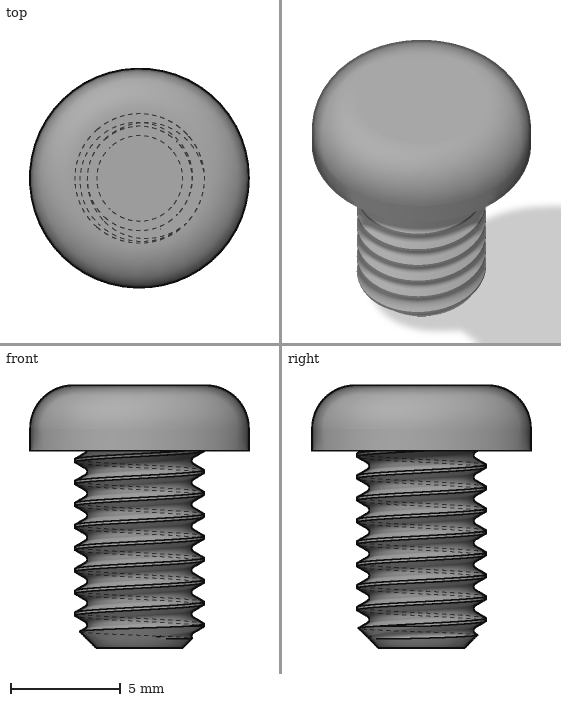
import cadquery as cq
import math

total_height = 12.0
head_radius = total_height / 2.4
head_height = total_height / 4
head_round = total_height / 6
shank_length = total_height - head_height

thread_radius = 2.95
pitch = total_height / 12
crest_width = 0.13
root_radius = 2.382
flank_half_angle = math.radians(30)
lowest_full_crest = 1.05
tip_radius = 1.95
tip_chamfer = thread_radius - tip_radius
seam_angle = 75
rod_overhang = 2.4
tool_overhang = 0.05


def make_head():
    disc = cq.Workplane("XY").workplane(offset=shank_length).circle(head_radius).extrude(head_height)
    return disc.faces(">Z").edges().fillet(head_round)


def make_shank_envelope():
    rod = cq.Workplane("XY").circle(thread_radius).extrude(shank_length)
    return rod.faces("<Z").edges().chamfer(tip_chamfer)


def make_thread_groove():
    """Right-handed V groove with a rounded root, starting below the tip and ending above the shank."""
    flank_slope = math.tan(flank_half_angle)
    mouth_half_width = (pitch - crest_width) / 2
    apex_radius = thread_radius - mouth_half_width / flank_slope
    root_round = (root_radius - apex_radius) / (1 / math.sin(flank_half_angle) - 1)
    tangent_rise = root_round * math.cos(flank_half_angle) / flank_slope
    tangent_radius = apex_radius + tangent_rise
    tangent_half_width = tangent_rise * flank_slope
    outer_radius = thread_radius + tool_overhang
    outer_half_width = mouth_half_width + tool_overhang * flank_slope

    start_height = lowest_full_crest - 1.5 * pitch
    helix_height = shank_length + pitch - start_height
    helix = cq.Wire.makeHelix(pitch, helix_height, thread_radius).translate(cq.Vector(0, 0, start_height))
    profile = (
        cq.Workplane("XZ")
        .moveTo(outer_radius, start_height - outer_half_width)
        .lineTo(tangent_radius, start_height - tangent_half_width)
        .threePointArc(
            (root_radius, start_height),
            (tangent_radius, start_height + tangent_half_width),
        )
        .lineTo(outer_radius, start_height + outer_half_width)
        .close()
    )
    return profile.sweep(cq.Workplane(obj=helix), isFrenet=True)


def make_threaded_shank():
    """Overlong threaded rod trimmed to the chamfered shank."""
    rod = (
        cq.Workplane("XY")
        .workplane(offset=-rod_overhang)
        .circle(thread_radius)
        .extrude(shank_length + 2 * rod_overhang)
        .rotate((0, 0, 0), (0, 0, 1), seam_angle)
    )
    return rod.cut(make_thread_groove()).intersect(make_shank_envelope())


result = make_threaded_shank().union(make_head())